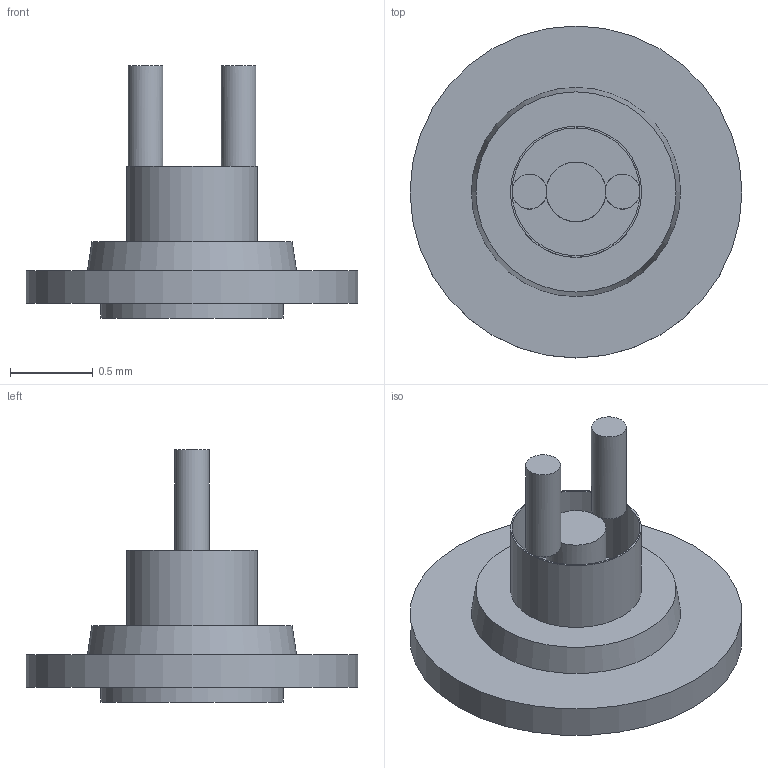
import cadquery as cq

spigot_radius = 0.55
spigot_height = 0.09
flange_radius = 1.0
flange_height = 0.195
step_bottom_radius = 0.63
step_top_radius = 0.603
step_height = 0.175

cup_radius = 0.395
cup_wall = 0.01
cup_height = 0.455
core_radius = 0.18

pin_radius = 0.105
pin_spacing = 0.56
pin_height = 0.605

flange_bottom = spigot_height
flange_top = flange_bottom + flange_height
step_top = flange_top + step_height
cup_rim = step_top + cup_height


def make_base():
    """Revolve the half section of the spigot, flange and tapered step about Z."""
    half_section = (
        cq.Workplane("XZ")
        .moveTo(0, 0)
        .lineTo(spigot_radius, 0)
        .lineTo(spigot_radius, flange_bottom)
        .lineTo(flange_radius, flange_bottom)
        .lineTo(flange_radius, flange_top)
        .lineTo(step_bottom_radius, flange_top)
        .lineTo(step_top_radius, step_top)
        .lineTo(0, step_top)
        .close()
    )
    return half_section.revolve(360, (0, 0, 0), (0, 1, 0))


def make_cup():
    """Tube open at the top, with the top of the step as its floor."""
    return (
        cq.Workplane("XY", origin=(0, 0, step_top))
        .circle(cup_radius)
        .circle(cup_radius - cup_wall)
        .extrude(cup_height)
    )


def make_core():
    """Solid post in the middle of the cup, level with the rim."""
    return cq.Workplane("XY", origin=(0, 0, step_top)).circle(core_radius).extrude(cup_height)


def make_pin(side):
    """Pin on the -X side (side = -1) or the +X side (side = 1)."""
    center_x = side * pin_spacing / 2
    return cq.Workplane("XY", origin=(center_x, 0, cup_rim)).circle(pin_radius).extrude(pin_height)


result = make_base()
for feature in (make_cup(), make_core(), make_pin(-1), make_pin(1)):
    result = result.union(feature)